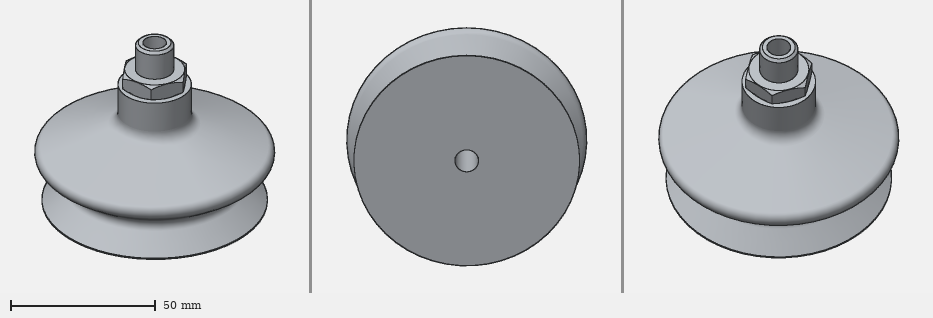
import cadquery as cq
import math

lip_radius = 39.0
lip_height = 0.5
waist_radius = 31.1
waist_arc = 2.9
waist_z = 9.3
rim_radius = 41.5
rim_arc = 3.0
rim_z = 19.6
neck_radius = 12.7
neck_arc = 4.8
neck_arc_z = 35.6
neck_top = 47.2

nut_flats = 21.0
nut_top = 53.2
nut_face_radius = 10.4
nut_chamfer_angle = 30.0

stud_radius = 6.6
stud_top = 64.0
stud_chamfer = 1.0
bore_radius = 4.1


def on_circle(centre, radius, angle):
    """Point on a circle in the radius-height plane."""
    return (centre[0] + radius * math.cos(angle), centre[1] + radius * math.sin(angle))


def crossing_tangent(start, start_radius, end, end_radius, side):
    """Angle, about the start circle, of the tangent passing between two circles.

    The end circle is touched at the opposite angle. A zero radius is a point.
    """
    dx = end[0] - start[0]
    dz = end[1] - start[1]
    spread = math.acos((start_radius + end_radius) / math.hypot(dx, dz))
    return math.atan2(dz, dx) + side * spread


def make_body():
    lip = (lip_radius, lip_height)
    waist = (waist_radius + waist_arc, waist_z)
    rim = (rim_radius - rim_arc, rim_z)
    neck = (neck_radius + neck_arc, neck_arc_z)

    lower_angle = crossing_tangent(waist, waist_arc, lip, 0, -1)
    middle_angle = crossing_tangent(rim, rim_arc, waist, waist_arc, 1)
    upper_angle = crossing_tangent(rim, rim_arc, neck, neck_arc, -1)
    neck_angle = upper_angle + math.pi
    neck_mid_angle = (neck_angle + math.pi) / 2

    profile = (
        cq.Workplane("XZ")
        .lineTo(lip_radius, 0)
        .lineTo(*lip)
        .lineTo(*on_circle(waist, waist_arc, lower_angle))
        .threePointArc(
            (waist_radius, waist_z),
            on_circle(waist, waist_arc, middle_angle + math.pi),
        )
        .lineTo(*on_circle(rim, rim_arc, middle_angle))
        .threePointArc((rim_radius, rim_z), on_circle(rim, rim_arc, upper_angle))
        .lineTo(*on_circle(neck, neck_arc, neck_angle))
        .threePointArc(
            on_circle(neck, neck_arc, neck_mid_angle),
            (neck_radius, neck_arc_z),
        )
        .lineTo(neck_radius, neck_top)
        .lineTo(0, neck_top)
        .close()
    )
    return profile.revolve(360, (0, 0, 0), (0, 1, 0))


def make_nut():
    corner_radius = nut_flats / math.sqrt(3)
    height = nut_top - neck_top
    chamfer_drop = (corner_radius - nut_face_radius) * math.tan(math.radians(nut_chamfer_angle))
    hexagon = cq.Workplane("XY").workplane(offset=neck_top).polygon(6, 2 * corner_radius).extrude(height)
    blank = (
        cq.Workplane("XZ")
        .moveTo(0, neck_top)
        .lineTo(nut_face_radius, neck_top)
        .lineTo(corner_radius, neck_top + chamfer_drop)
        .lineTo(corner_radius, nut_top - chamfer_drop)
        .lineTo(nut_face_radius, nut_top)
        .lineTo(0, nut_top)
        .close()
        .revolve(360, (0, 0, 0), (0, 1, 0))
    )
    return hexagon.intersect(blank)


def make_stud():
    stud = cq.Workplane("XY").workplane(offset=nut_top).circle(stud_radius).extrude(stud_top - nut_top)
    return stud.faces(">Z").chamfer(stud_chamfer)


bore = cq.Workplane("XY").circle(bore_radius).extrude(stud_top)
result = make_body().union(make_nut()).union(make_stud()).cut(bore)